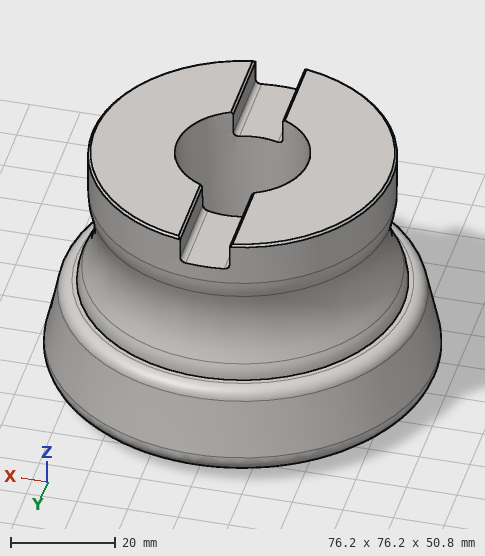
import cadquery as cq
import math

total_height = 50.8
foot_height = 20.2
flare_height = 23.45
neck_top_height = 38.3
rim_height = 41.8

rim_radius = 59.15 / 2
flare_radius = 63.5 / 2
flare_top_radius = 30.8
neck_top_radius = 29.1
rim_chamfer = 0.45

bore_mouth_radius = 26.0 / 2
bore_floor_radius = 11.95
slot_width = 9.75
slot_depth = 5.7
slot_fillet = 1.1
slot_chamfer = 0.45

outer_radius = 38.1
base_radius = 24.2
side_angle = 12.3
base_angle = 11.4
shoulder_fillet = 2.8
edge_fillet = 3.4
hole_diameter = 14.0


def make_foot():
    """Tapered foot with rounded edges, a conical underside and a through hole."""
    side_slope = math.radians(side_angle)
    base_slope = math.radians(base_angle)
    centre_radius = outer_radius - edge_fillet
    centre_height = (centre_radius - base_radius) * math.tan(base_slope) + edge_fillet / math.cos(base_slope)
    side_radius = centre_radius + edge_fillet / math.cos(side_slope)
    shoulder_radius = side_radius - (foot_height - centre_height) * math.tan(side_slope)
    corner_radius = (
        side_radius + (centre_height + base_radius * math.tan(base_slope)) * math.tan(side_slope)
    ) / (1 + math.tan(base_slope) * math.tan(side_slope))
    corner_height = (corner_radius - base_radius) * math.tan(base_slope)

    foot = (
        cq.Workplane("XZ")
        .lineTo(base_radius, 0)
        .lineTo(corner_radius, corner_height)
        .lineTo(shoulder_radius, foot_height)
        .lineTo(0, foot_height)
        .close()
        .revolve(360, (0, 0, 0), (0, 1, 0))
    )
    foot = foot.faces(">Z").edges().fillet(shoulder_fillet)
    foot = foot.edges(cq.selectors.RadiusNthSelector(-1)).fillet(edge_fillet)
    return foot.faces(">Z").workplane(origin=(0, 0, foot_height)).hole(hole_diameter)


def make_slot_cutter():
    """Drive slot across the hub along Y, with rounded floor corners and a chamfered mouth."""
    half_width = slot_width / 2
    slot = (
        cq.Workplane("XY", origin=(0, 0, total_height - slot_depth))
        .box(slot_width, 2 * outer_radius, slot_depth, centered=(True, True, False))
        .edges("|Y and <Z")
        .fillet(slot_fillet)
    )
    mouth = (
        cq.Workplane("XZ")
        .moveTo(-half_width, total_height - slot_chamfer)
        .lineTo(half_width, total_height - slot_chamfer)
        .lineTo(half_width + slot_chamfer, total_height)
        .lineTo(-half_width - slot_chamfer, total_height)
        .close()
        .extrude(outer_radius, both=True)
    )
    return slot.union(mouth)


def make_hub():
    """Waisted hub with a tapered bore and a drive slot across its top."""
    hub = (
        cq.Workplane("XZ")
        .moveTo(bore_mouth_radius, total_height)
        .lineTo(rim_radius - rim_chamfer, total_height)
        .lineTo(rim_radius, total_height - rim_chamfer)
        .lineTo(rim_radius, rim_height)
        .tangentArcPoint((neck_top_radius, neck_top_height), relative=False)
        .tangentArcPoint((flare_top_radius, flare_height), relative=False)
        .tangentArcPoint((flare_radius, foot_height), relative=False)
        .lineTo(bore_floor_radius, foot_height)
        .close()
        .revolve(360, (0, 0, 0), (0, 1, 0))
    )
    return hub.cut(make_slot_cutter())


foot = make_foot()
hub = make_hub()
result = cq.Compound.makeCompound([foot.val(), hub.val()])